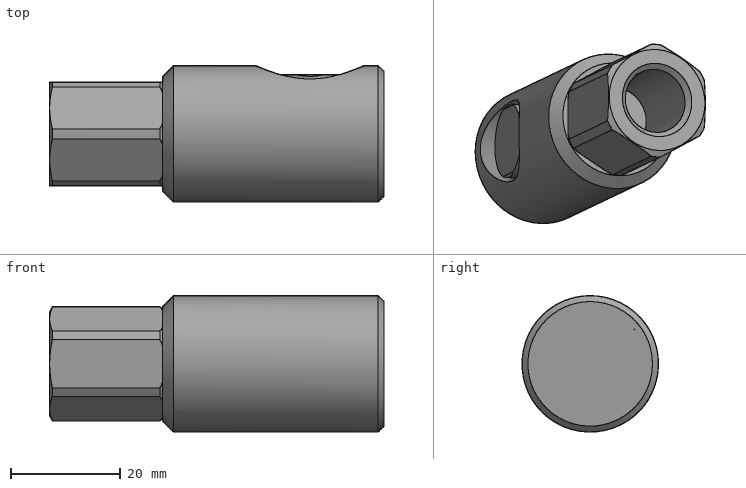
import cadquery as cq
import math

total_length = 61.3
body_diameter = 25.0
body_radius = body_diameter / 2
shoulder_chamfer = 2.0
end_chamfer = 1.1

hex_length = 20.7
hex_across_flats = 19.0
hex_corner_radius = 10.5
hex_face_radius = 9.4
hex_face_chamfer_length = 0.55
hex_neck_radius = 10.05
hex_neck_chamfer_length = 0.5

bore_diameter = 11.7
bore_mouth_diameter = 13.6
bore_depth = hex_length

recess_x = 47.7
recess_rim_radius = 9.85
button_radius = 6.75
button_depth = 1.65


def revolve_about_x(points):
    """Revolve an (x, radius) outline about the X axis."""
    return cq.Workplane("XY").polyline(points).close().revolve(360, (0, 0, 0), (1, 0, 0))


def make_body():
    """Round body with a chamfer at each end."""
    body_length = total_length - hex_length
    body = cq.Workplane("YZ").workplane(offset=hex_length).circle(body_radius).extrude(body_length)
    return body.faces("<X").chamfer(shoulder_chamfer).faces(">X").chamfer(end_chamfer)


def make_hexagon():
    """Hexagon with flats on +Y and -Y, its corners trimmed by a turned envelope."""
    across_corners = hex_across_flats / math.cos(math.pi / 6)
    prism = cq.Workplane("YZ").transformed(rotate=(0, 0, 90)).polygon(6, across_corners).extrude(hex_length)
    envelope = revolve_about_x([
        (0, 0),
        (0, hex_face_radius),
        (hex_face_chamfer_length, hex_corner_radius),
        (hex_length - hex_neck_chamfer_length, hex_corner_radius),
        (hex_length, hex_neck_radius),
        (hex_length, 0),
    ])
    return prism.intersect(envelope)


def make_bore():
    """Flat-bottomed bore with a 45 degree countersink at its mouth."""
    bore_radius = bore_diameter / 2
    mouth_radius = bore_mouth_diameter / 2
    return revolve_about_x([
        (0, 0),
        (0, mouth_radius),
        (mouth_radius - bore_radius, bore_radius),
        (bore_depth, bore_radius),
        (bore_depth, 0),
    ])


def make_recess():
    """Cutter with a 45 degree outer wall, leaving a flat-topped button in the middle."""
    groove_y = body_radius - (recess_rim_radius - button_radius)
    button_y = body_radius - button_depth
    outline = cq.Workplane("XY").polyline([
        (0, button_y),
        (button_radius, button_y),
        (button_radius, groove_y),
        (recess_rim_radius, body_radius),
        (0, body_radius),
    ])
    cutter = outline.close().revolve(360, (0, 0, 0), (0, 1, 0))
    return cutter.translate((recess_x, 0, 0))


part = make_body().union(make_hexagon()).cut(make_bore()).cut(make_recess())
result = part.translate((-total_length / 2, 0, 0))